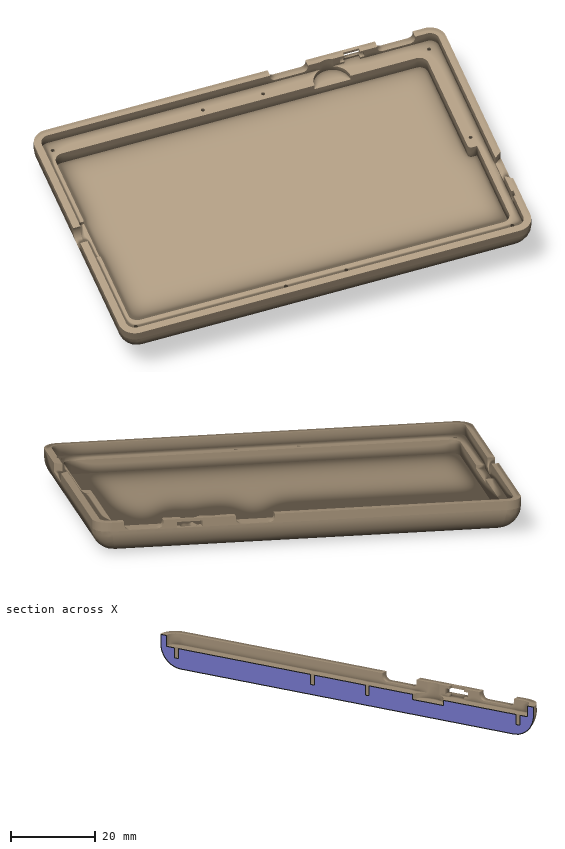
import cadquery as cq

WIDTH = 67.6
LENGTH = 103.6
HEIGHT = 8.0
CORNER_RADIUS = 4.0
BOTTOM_ROUND = 5.8

RIM_THICKNESS = 1.8
LEDGE_Z = 5.3
POCKET_FLOOR_Z = 1.9
POCKET_SIDE_MARGIN = 6.05
POCKET_END_MARGIN = 3.9
POCKET_STEP_X = 3.1
POCKET_STEP_DEPTH = 2.1
POCKET_CORNER_RADIUS = 2.2
POCKET_STEP_RADIUS = 0.9

SCREW_DIAMETER = 0.95
SCREW_DEPTH = 2.5
SCREW_X = 29.4
SCREW_END_Y = 47.4
SCREW_MIDDLE_YS = (5.6, -9.6)

BUTTON_SLOT_WIDTH = 9.5
BUTTON_SLOT_YS = (40.05, 13.05)
BUTTON_SLOT_FLOOR_Z = 6.0
BUTTON_SLOT_RADIUS = 1.4

SWITCH_Y = 28.95
SWITCH_WINDOW_WIDTH = 6.2
SWITCH_WINDOW_FLOOR_Z = 5.9
SWITCH_WINDOW_TOP_Z = 7.3
SWITCH_RELIEF_WIDTH = 4.0
SWITCH_RELIEF_DEPTH = 1.0

ROUND_RELIEF_RADIUS = 4.55
ROUND_RELIEF_Y = 22.5
ROUND_RELIEF_FLOOR_Z = 4.0

FLARE_X = 13.3
FLARE_INNER_WIDTH = 6.1
FLARE_OUTER_WIDTH = 8.9
FLARE_FLOOR_Z = 5.8

RECESS_X = 22.2
RECESS_WIDTH = 1.6
RECESS_BOTTOM_Z = 5.7
RECESS_DEPTH = 0.5

PORT_RADIUS = 2.6
PORT_AXIS_Z = 7.2
PORT_SEAT_WIDTH = 11.65
PORT_SEAT_FLOOR_Z = 4.4

HALF_WIDTH = WIDTH / 2
HALF_LENGTH = LENGTH / 2
INNER_HALF_WIDTH = HALF_WIDTH - RIM_THICKNESS
INNER_HALF_LENGTH = HALF_LENGTH - RIM_THICKNESS
POCKET_HALF_WIDTH = HALF_WIDTH - POCKET_SIDE_MARGIN
POCKET_HALF_LENGTH = HALF_LENGTH - POCKET_END_MARGIN


def box(x_range, y_range, z_range):
    """Axis-aligned block between the given limits."""
    size = [high - low for low, high in (x_range, y_range, z_range)]
    corner = (x_range[0], y_range[0], z_range[0])
    return cq.Workplane("XY").box(*size, centered=False).translate(corner)


def body():
    """Solid block with rounded corners and a large round along its bottom edge."""
    block = cq.Workplane("XY").rect(WIDTH, LENGTH).extrude(HEIGHT)
    return block.edges("|Z").fillet(CORNER_RADIUS).faces("<Z").edges().fillet(BOTTOM_ROUND)


def rim_cavity():
    """Shallow cavity that leaves the rim standing around the ledge."""
    cavity = cq.Workplane("XY").workplane(offset=LEDGE_Z)
    cavity = cavity.rect(2 * INNER_HALF_WIDTH, 2 * INNER_HALF_LENGTH).extrude(HEIGHT - LEDGE_Z)
    return cavity.edges("|Z").fillet(CORNER_RADIUS - RIM_THICKNESS)


def pocket():
    """Deep pocket whose +Y end steps back on the -X side."""
    step_y = POCKET_HALF_LENGTH - POCKET_STEP_DEPTH
    depth = HEIGHT - POCKET_FLOOR_Z
    outline = [
        (-POCKET_HALF_WIDTH, -POCKET_HALF_LENGTH),
        (POCKET_HALF_WIDTH, -POCKET_HALF_LENGTH),
        (POCKET_HALF_WIDTH, POCKET_HALF_LENGTH),
        (POCKET_STEP_X, POCKET_HALF_LENGTH),
        (POCKET_STEP_X, step_y),
        (-POCKET_HALF_WIDTH, step_y),
    ]
    shape = cq.Workplane("XY").workplane(offset=POCKET_FLOOR_Z).polyline(outline).close().extrude(depth)
    shape = shape.faces("<X or >X").edges("|Z").fillet(POCKET_CORNER_RADIUS)
    step_edge = cq.selectors.NearestToPointSelector((POCKET_STEP_X, step_y, POCKET_FLOOR_Z + depth / 2))
    return shape.edges(step_edge).fillet(POCKET_STEP_RADIUS)


def screw_holes():
    """Blind screw holes around the ledge."""
    points = [(0, SCREW_END_Y)]
    for x in (-SCREW_X, SCREW_X):
        for y in (SCREW_END_Y, *SCREW_MIDDLE_YS, -SCREW_END_Y):
            points.append((x, y))
    plane = cq.Workplane("XY").workplane(offset=LEDGE_Z - SCREW_DEPTH)
    return plane.pushPoints(points).circle(SCREW_DIAMETER / 2).extrude(SCREW_DEPTH)


def button_slot(y):
    """Slot through the -X side of the rim, open at the top."""
    half = BUTTON_SLOT_WIDTH / 2
    slot = box((-HALF_WIDTH, -INNER_HALF_WIDTH), (y - half, y + half), (BUTTON_SLOT_FLOOR_Z, HEIGHT))
    return slot.faces("<Z").edges("|X").fillet(BUTTON_SLOT_RADIUS)


def switch_opening():
    """Window through the -X rim plus a relief open to the top behind it."""
    half_window = SWITCH_WINDOW_WIDTH / 2
    half_relief = SWITCH_RELIEF_WIDTH / 2
    window = box(
        (-HALF_WIDTH, -INNER_HALF_WIDTH),
        (SWITCH_Y - half_window, SWITCH_Y + half_window),
        (SWITCH_WINDOW_FLOOR_Z, SWITCH_WINDOW_TOP_Z),
    )
    relief = box(
        (-INNER_HALF_WIDTH - SWITCH_RELIEF_DEPTH, -INNER_HALF_WIDTH),
        (SWITCH_Y - half_relief, SWITCH_Y + half_relief),
        (LEDGE_Z, HEIGHT),
    )
    return window.union(relief)


def round_relief():
    """Round relief sunk into the ledge and slightly into the rim."""
    plane = cq.Workplane("XY").workplane(offset=ROUND_RELIEF_FLOOR_Z)
    disc = plane.center(-POCKET_HALF_WIDTH, ROUND_RELIEF_Y).circle(ROUND_RELIEF_RADIUS)
    return disc.extrude(HEIGHT - ROUND_RELIEF_FLOOR_Z)


def flared_opening():
    """Opening through the +Y rim that widens towards the outside."""
    outline = [
        (FLARE_X - FLARE_INNER_WIDTH / 2, INNER_HALF_LENGTH),
        (FLARE_X + FLARE_INNER_WIDTH / 2, INNER_HALF_LENGTH),
        (FLARE_X + FLARE_OUTER_WIDTH / 2, HALF_LENGTH),
        (FLARE_X - FLARE_OUTER_WIDTH / 2, HALF_LENGTH),
    ]
    plane = cq.Workplane("XY").workplane(offset=FLARE_FLOOR_Z)
    return plane.polyline(outline).close().extrude(HEIGHT - FLARE_FLOOR_Z)


def rim_recess():
    """Shallow upright recess with a half-round bottom above the ledge."""
    radius = RECESS_WIDTH / 2
    axis_z = RECESS_BOTTOM_Z + radius
    profile = (
        cq.Workplane("XZ", origin=(RECESS_X, INNER_HALF_LENGTH, 0))
        .moveTo(-radius, HEIGHT)
        .lineTo(-radius, axis_z)
        .threePointArc((0, RECESS_BOTTOM_Z), (radius, axis_z))
        .lineTo(radius, HEIGHT)
        .close()
    )
    return profile.extrude(-RECESS_DEPTH)


def charging_port():
    """Round opening through the -Y rim and the seat cut into the ledge behind it."""
    opening = cq.Workplane("XZ", origin=(0, -INNER_HALF_LENGTH, PORT_AXIS_Z))
    opening = opening.circle(PORT_RADIUS).extrude(RIM_THICKNESS)
    seat = box(
        (-PORT_SEAT_WIDTH / 2, PORT_SEAT_WIDTH / 2),
        (-INNER_HALF_LENGTH, -POCKET_HALF_LENGTH),
        (PORT_SEAT_FLOOR_Z, LEDGE_Z),
    )
    return opening.union(seat)


result = body().cut(rim_cavity()).cut(pocket()).cut(screw_holes())
for slot_y in BUTTON_SLOT_YS:
    result = result.cut(button_slot(slot_y))
result = result.cut(switch_opening()).cut(round_relief())
result = result.cut(flared_opening()).cut(rim_recess()).cut(charging_port())